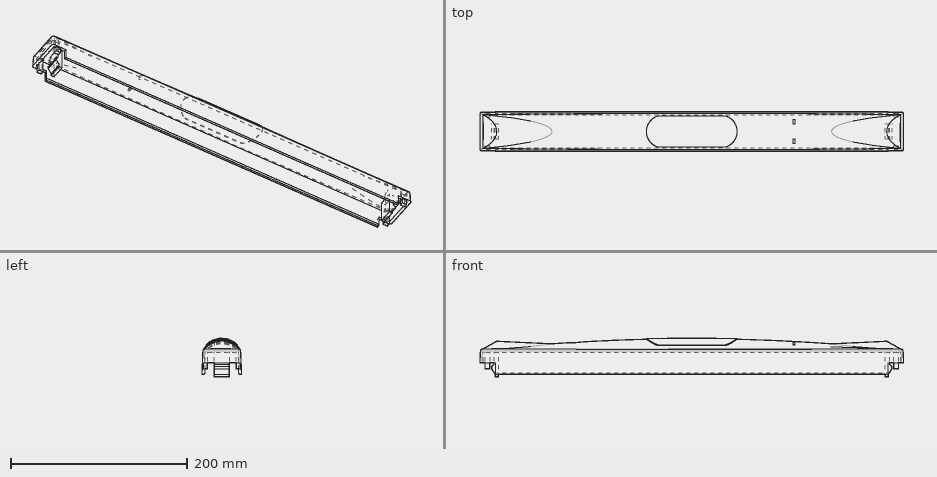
import cadquery as cq
import math

LENGTH = 481.5
WIDTH = 45.3
WALL = 4.0
SKIRT_BOTTOM = 3.0
END_BOTTOM = 16.0
DECK_TOP = 32.0
CEILING = 28.0
TOP_WIDTH = 43.0
SKIRT_END = 223.0
VERTICAL_ROUND = 2.5
TOP_ROUND = 2.5
INNER_CHAMFER = 1.5

HEIGHT = 44.5
BADGE_RAISE = 0.7
CROWN = HEIGHT - BADGE_RAISE
DOME_END = 237.5
MID_RIM = 20.5
END_RIM = 19.3
CREST_FALL = 6.0
LEAST_ARCH = 0.5
ROOT_DEPTH = 1.5
DOME_ROOT = DECK_TOP - ROOT_DEPTH

TIP_X = 159.0
END_DOME_START = 144.5
SLOPE_TOP_X = 221.5
END_CREST_FALL = 3.0
END_CREST = CROWN - END_CREST_FALL
TIP_RIM = 12.5

BADGE_HALF_LENGTH = 51.5
BADGE_FLAT_HALF = 38.0
BADGE_HALF_WIDTH = 18.0

SLIT_X = 116.0
SLIT_Y = 11.0
SLIT_LENGTH = 5.5
SLIT_WIDTH = 2.0
SLIT_FLOOR = 36.0

PAD_X = 232.0
PAD_LENGTH = 6.0
PAD_INNER_Y = 16.5
PAD_OUTER_Y = 20.5
PAD_BOTTOM = 9.0

LATCH_WIDTH = 17.5
LATCH_INNER_X = 219.5
LATCH_OUTER_X = 223.5
LATCH_STEM_X = 225.0
BARB_X = 227.0
BARB_LOW = 9.0
BARB_HIGH = 12.0
BARB_TOP = 14.0

DRAFT = (WIDTH - TOP_WIDTH) / 2 / (DECK_TOP - SKIRT_BOTTOM)


def block(x0, x1, y0, y1, z0, z1):
    return cq.Workplane("XY").box(x1 - x0, y1 - y0, z1 - z0, centered=False).translate((x0, y0, z0))


def arch_wire(x, rim, crest):
    """Arch across the cover: straight feet below deck level, then an arc over the crest."""
    return (
        cq.Workplane("YZ", origin=(x, 0, 0))
        .moveTo(-rim, DOME_ROOT)
        .lineTo(-rim, DECK_TOP)
        .threePointArc((0, crest), (rim, DECK_TOP))
        .lineTo(rim, DOME_ROOT)
        .close()
        .val()
    )


def main_dome(raise_by=0.0):
    """Loft along the cover, optionally raised to give the top of the badge."""
    wires = []
    for x in (-DOME_END, -TIP_X, -TIP_X / 2, 0, TIP_X / 2, TIP_X, DOME_END):
        crest = CROWN - CREST_FALL * (x / TIP_X) ** 2
        crest = max(crest, DECK_TOP + LEAST_ARCH)
        rim = MID_RIM - (MID_RIM - END_RIM) * (x / DOME_END) ** 2
        wires.append(arch_wire(x, rim + raise_by, crest + raise_by))
    return cq.Workplane(cq.Solid.makeLoft(wires))


def end_dome():
    """End dome at +X."""
    tip_crest = CROWN - CREST_FALL
    crest_rise = (END_CREST - tip_crest) / (SLOPE_TOP_X - TIP_X)
    rim_spread = (END_RIM - TIP_RIM) / (DOME_END - TIP_X)
    wires = []
    for x in (END_DOME_START, DOME_END):
        rim = TIP_RIM + rim_spread * (x - TIP_X)
        crest = tip_crest + crest_rise * (x - TIP_X)
        wires.append(arch_wire(x, rim, crest))
    dome = cq.Workplane(cq.Solid.makeLoft(wires, True))
    slope = (END_CREST - DECK_TOP) / (DOME_END - SLOPE_TOP_X)
    run = DOME_END - SLOPE_TOP_X
    beyond = (
        cq.Workplane("XZ")
        .polyline([
            (SLOPE_TOP_X - run, END_CREST + slope * run),
            (DOME_END, DECK_TOP),
            (DOME_END + run, DECK_TOP),
            (DOME_END + run, END_CREST + slope * run),
        ])
        .close()
        .extrude(WIDTH, both=True)
    )
    return dome.cut(beyond)


def shell():
    """Drafted channel with rounded outer edges; the draft reaches full length at the end walls' foot."""
    base_length = LENGTH + 2 * DRAFT * (END_BOTTOM - SKIRT_BOTTOM)
    draft_angle = math.degrees(math.atan(DRAFT))
    body = (
        cq.Workplane("XY", origin=(0, 0, SKIRT_BOTTOM))
        .rect(base_length, WIDTH)
        .extrude(DECK_TOP - SKIRT_BOTTOM, taper=draft_angle)
    )
    body = body.edges("not(|X or |Y)").fillet(VERTICAL_ROUND)
    return body.faces(">Z").edges().fillet(TOP_ROUND)


def cavity():
    half_x = LENGTH / 2 - WALL
    half_y = WIDTH / 2 - WALL
    hollow = block(-half_x, half_x, -half_y, half_y, SKIRT_BOTTOM, CEILING)
    mouth = (
        cq.Workplane("YZ")
        .polyline([
            (-half_y - INNER_CHAMFER, SKIRT_BOTTOM),
            (half_y + INNER_CHAMFER, SKIRT_BOTTOM),
            (half_y, SKIRT_BOTTOM + INNER_CHAMFER),
            (-half_y, SKIRT_BOTTOM + INNER_CHAMFER),
        ])
        .close()
        .extrude(LENGTH, both=True)
    )
    return hollow.union(mouth)


def badge():
    outline = (
        cq.Workplane("XY", origin=(0, 0, DECK_TOP))
        .moveTo(-BADGE_FLAT_HALF, -BADGE_HALF_WIDTH)
        .lineTo(BADGE_FLAT_HALF, -BADGE_HALF_WIDTH)
        .threePointArc((BADGE_HALF_LENGTH, 0), (BADGE_FLAT_HALF, BADGE_HALF_WIDTH))
        .lineTo(-BADGE_FLAT_HALF, BADGE_HALF_WIDTH)
        .threePointArc((-BADGE_HALF_LENGTH, 0), (-BADGE_FLAT_HALF, -BADGE_HALF_WIDTH))
        .close()
        .extrude(CROWN)
    )
    return main_dome(BADGE_RAISE).intersect(outline)


def make_cover():
    right_dome = end_dome()
    cover = shell().union(main_dome())
    cover = cover.union(right_dome).union(right_dome.mirror("YZ"))
    cover = cover.union(badge()).cut(cavity())
    notch = block(SKIRT_END, LENGTH, -WIDTH, WIDTH, 0, END_BOTTOM)
    cover = cover.cut(notch).cut(notch.mirror("YZ"))
    for y in (-SLIT_Y, SLIT_Y):
        slit = cq.Workplane("XY", origin=(SLIT_X, y, SLIT_FLOOR)).rect(SLIT_WIDTH, SLIT_LENGTH).extrude(CROWN)
        cover = cover.cut(slit)
    pad = block(
        PAD_X - PAD_LENGTH / 2, PAD_X + PAD_LENGTH / 2, PAD_INNER_Y, PAD_OUTER_Y, PAD_BOTTOM, CEILING
    )
    for row in (pad, pad.mirror("XZ")):
        cover = cover.union(row).union(row.mirror("YZ"))
    return cover


def make_latch(side):
    """Latch hanging from the cover's ceiling, its barb facing outward; side is -1 or +1 along X."""
    profile = [
        (LATCH_INNER_X, 0),
        (LATCH_OUTER_X, 0),
        (LATCH_OUTER_X, SKIRT_BOTTOM),
        (BARB_X, BARB_LOW),
        (BARB_X, BARB_HIGH),
        (LATCH_STEM_X, BARB_TOP),
        (LATCH_STEM_X, CEILING),
        (LATCH_INNER_X, CEILING),
    ]
    outline = [(side * x, z) for x, z in profile]
    return cq.Workplane("XZ").polyline(outline).close().extrude(LATCH_WIDTH / 2, both=True)


cover = make_cover()
latches = [make_latch(side) for side in (-1, 1)]

result = cq.Compound.makeCompound([cover.val(), *[latch.val() for latch in latches]])